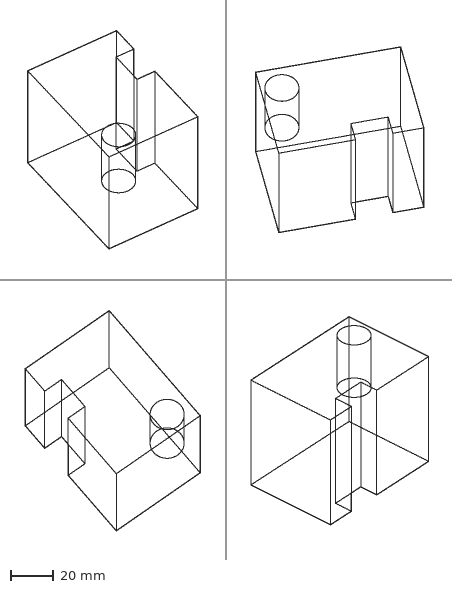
import cadquery as cq

length = 70.0
width = 50.0
height = 60.0

notch_start = 15.0
notch_length = 18.0
notch_depth = 10.0

hole_diameter = 16.0
hole_x = 60.0
hole_y = 12.0
hole_depth = height / 2


def make_block():
    """Block with one bottom corner at the origin."""
    return cq.Workplane("XY").box(length, width, height, centered=False)


def make_notch():
    """Cutter for the rectangular notch, open at the back, top and bottom."""
    return (
        cq.Workplane("XY")
        .box(notch_length, notch_depth, height, centered=False)
        .translate((notch_start, width - notch_depth, 0))
    )


def make_hole():
    """Cutter for the flat-bottomed hole, reaching down from the top face."""
    return (
        cq.Workplane("XY")
        .workplane(offset=height - hole_depth)
        .center(hole_x, hole_y)
        .circle(hole_diameter / 2)
        .extrude(hole_depth)
    )


result = make_block().cut(make_notch()).cut(make_hole())